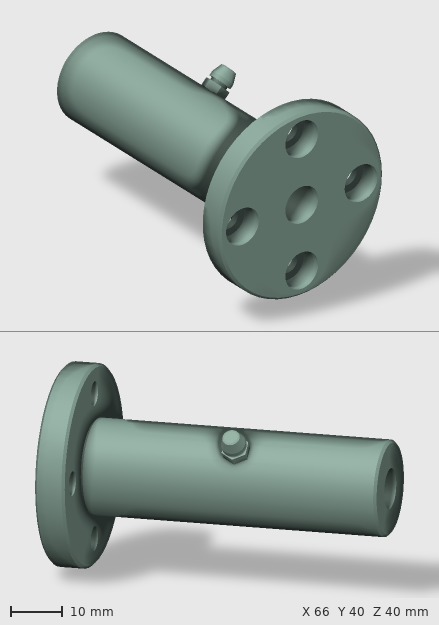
import cadquery as cq

total_length = 66.0
flange_diameter = 40.0
flange_thickness = 6.0
sleeve_diameter = 19.0
bore_diameter = 8.0
edge_chamfer = 0.5

relief_width = 0.5
relief_depth = 0.5

bolt_hole_count = 4
bolt_hole_diameter = 4.8
bolt_circle_diameter = 29.0
counterbore_diameter = 8.0
counterbore_depth = 4.5

nipple_x = 29.05
nipple_tilt = 45.0
hex_across_flats = 4.8
hex_height = 1.7
hex_sink = 0.05
neck_radius = 1.85
neck_height = 0.65
collar_radius = 2.45
collar_height = 1.0
cone_height = 2.05
tip_radius = 1.7
tip_face_radius = 1.3
tip_bevel_height = 0.1
shank_depth = 2.0

sleeve_radius = sleeve_diameter / 2
sleeve_length = total_length - flange_thickness


def x_cylinder(start, length, diameter):
    return cq.Workplane("YZ", origin=(start, 0, 0)).circle(diameter / 2).extrude(length)


def bolt_pattern(start, length, diameter):
    return (
        cq.Workplane("YZ", origin=(start, 0, 0))
        .polarArray(bolt_circle_diameter / 2, 0, 360, bolt_hole_count)
        .circle(diameter / 2)
        .extrude(length)
    )


def make_sleeve():
    body_length = sleeve_length - relief_width
    body = x_cylinder(0, body_length, sleeve_diameter).faces("<X").chamfer(edge_chamfer)
    relief = x_cylinder(body_length, relief_width, sleeve_diameter - 2 * relief_depth)
    return body.union(relief)


def make_flange():
    flange = x_cylinder(sleeve_length, flange_thickness, flange_diameter)
    flange = flange.edges().chamfer(edge_chamfer)
    bolt_holes = bolt_pattern(sleeve_length, flange_thickness, bolt_hole_diameter)
    counterbores = bolt_pattern(
        total_length - counterbore_depth, counterbore_depth, counterbore_diameter
    )
    return flange.cut(bolt_holes).cut(counterbores)


def make_nipple():
    """Build the nipple upright along Z, then tilt it about the sleeve axis."""
    shank_bottom = sleeve_radius - shank_depth
    hex_top = sleeve_radius + hex_height
    neck_top = hex_top + neck_height
    collar_top = neck_top + collar_height
    cone_top = collar_top + cone_height
    turned = (
        cq.Workplane("XZ")
        .moveTo(0, shank_bottom)
        .lineTo(neck_radius, shank_bottom)
        .lineTo(neck_radius, neck_top)
        .lineTo(collar_radius, neck_top)
        .lineTo(collar_radius, collar_top)
        .lineTo(tip_radius, cone_top)
        .lineTo(tip_face_radius, cone_top + tip_bevel_height)
        .lineTo(0, cone_top + tip_bevel_height)
        .close()
        .revolve(360, (0, 0, 0), (0, 1, 0))
    )
    hexagon = (
        cq.Workplane("XY", origin=(0, 0, sleeve_radius - hex_sink))
        .polygon(6, hex_across_flats, circumscribed=True)
        .extrude(hex_height + hex_sink)
    )
    nipple = turned.union(hexagon)
    return nipple.rotate((0, 0, 0), (1, 0, 0), -nipple_tilt).translate((nipple_x, 0, 0))


bore = x_cylinder(0, total_length, bore_diameter)
result = make_sleeve().union(make_flange()).cut(bore).union(make_nipple())